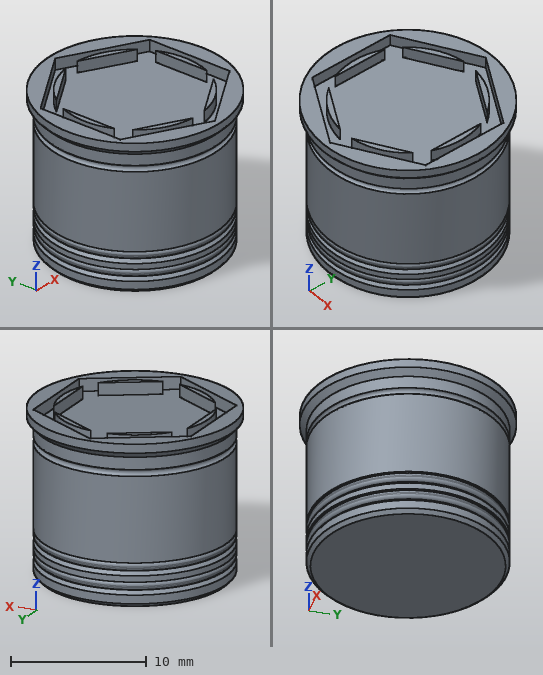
import cadquery as cq
import math

height = 13.0
flange_radius = 8.0
body_radius = 7.5
flange_thickness = 0.7
flange_depth = 1.2
flange_cone_bottom = height - flange_depth
bottom_chamfer = 0.3

round_groove_radius = 0.25
round_groove_depth = 2.45
round_groove_z = height - round_groove_depth

ring_height = 0.7
ring_thickness = 0.7
ring_edge_radius = 0.3
groove_lip_chamfer = 0.3
first_ring_bottom = 1.3
ring_spacing = 1.5
ring_count = 2
ring_inner_radius = body_radius - ring_thickness
ring_bottoms = [first_ring_bottom + i * ring_spacing for i in range(ring_count)]

hex_across_flats = 13.0
recess_depth = 1.0
hex_sides = 6
hex_across_corners = hex_across_flats / math.cos(math.pi / hex_sides)
recess_floor = height - recess_depth

segment_arc_radius = 6.0
segment_chord_distance = 5.5
segment_half_chord = math.sqrt(segment_arc_radius**2 - segment_chord_distance**2)


def make_outer_shape():
    """Revolved body with the flange, its cone and the bottom chamfer."""
    return (
        cq.Workplane("XZ")
        .moveTo(0, 0)
        .lineTo(body_radius - bottom_chamfer, 0)
        .lineTo(body_radius, bottom_chamfer)
        .lineTo(body_radius, flange_cone_bottom)
        .lineTo(flange_radius, height - flange_thickness)
        .lineTo(flange_radius, height)
        .lineTo(0, height)
        .close()
        .revolve(360, (0, 0, 0), (0, 1, 0))
    )


def make_round_groove():
    """Cutter for the half-round groove under the flange."""
    return cq.Workplane("XY").add(
        cq.Solid.makeTorus(body_radius, round_groove_radius, cq.Vector(0, 0, round_groove_z))
    )


def make_ring_groove(bottom):
    """Cutter for one ring groove, widened by a chamfer at its lower edge."""
    return (
        cq.Workplane("XZ")
        .moveTo(ring_inner_radius, bottom)
        .lineTo(body_radius - groove_lip_chamfer, bottom)
        .lineTo(body_radius, bottom - groove_lip_chamfer)
        .lineTo(body_radius, bottom + ring_height)
        .lineTo(ring_inner_radius, bottom + ring_height)
        .close()
        .revolve(360, (0, 0, 0), (0, 1, 0))
    )


def make_hex_recess():
    """Cutter for the hexagonal recess, with two corners on the Y axis."""
    return (
        cq.Workplane("XY")
        .workplane(offset=recess_floor)
        .polygon(hex_sides, hex_across_corners)
        .extrude(recess_depth)
        .rotate((0, 0, 0), (0, 0, 1), 180 / hex_sides)
    )


def make_segment(angle):
    """Raised segment standing on the recess floor, flush with the top face."""
    return (
        cq.Workplane("XY")
        .workplane(offset=recess_floor)
        .moveTo(segment_chord_distance, -segment_half_chord)
        .threePointArc((segment_arc_radius, 0), (segment_chord_distance, segment_half_chord))
        .close()
        .extrude(recess_depth)
        .rotate((0, 0, 0), (0, 0, 1), angle)
    )


def make_plug():
    """Main body with its grooves, hexagonal recess and raised segments."""
    plug = make_outer_shape().cut(make_round_groove()).cut(make_hex_recess())
    for bottom in ring_bottoms:
        plug = plug.cut(make_ring_groove(bottom))
    for i in range(hex_sides):
        plug = plug.union(make_segment(i * 360 / hex_sides))
    return plug


def make_sealing_ring(bottom):
    """Ring that fills its groove, with both outer edges rounded."""
    return (
        cq.Workplane("XY")
        .workplane(offset=bottom)
        .circle(body_radius)
        .circle(ring_inner_radius)
        .extrude(ring_height)
        .edges(cq.selectors.RadiusNthSelector(-1))
        .fillet(ring_edge_radius)
    )


plug = make_plug()
sealing_rings = [make_sealing_ring(bottom) for bottom in ring_bottoms]

result = cq.Compound.makeCompound(
    [plug.solids().val(), *[ring.solids().val() for ring in sealing_rings]]
)